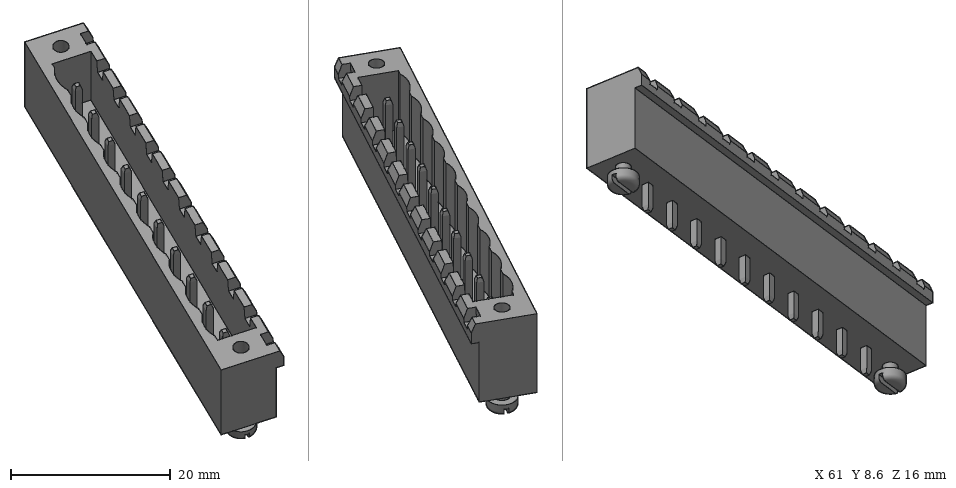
import cadquery as cq


length = 60.95
pin_count = 10
pitch = length / (pin_count + 2)
row_y = 3.85
pin_xs = [(i - (pin_count - 1) / 2) * pitch for i in range(pin_count)]
screw_x = (pin_count + 1) / 2 * pitch
screw_xs = [-screw_x, screw_x]

pin_width = 1.0
pin_below = 3.95
pin_above = 10.0
pin_tip_length = 0.6
pin_tip_inset = 0.2

height = 12.0
body_depth = 7.55
total_depth = 8.6
rail_height = 2.9
rail_bevel_depth = 0.55
rail_bevel_height = 1.3

pocket_length = 51.3
pocket_front_y = 1.65
pocket_back_y = 6.95
pocket_floor_z = 3.0
scallop_half_width = 2.0
scallop_depth = 0.55

notch_top_width = 2.0
notch_floor_width = 1.45
notch_depth = 1.8

screw_diameter = 2.0
screw_hole_depth = 6.0
head_diameter = 4.0
head_top_z = -1.45
head_height = 1.65
head_fillet = 0.6
drive_slot_width = 0.6
drive_slot_depth = 1.0


def make_housing():
    """Side profile with the overhanging, bevelled rail, extruded along the length."""
    profile = [
        (0, 0),
        (body_depth, 0),
        (body_depth, height - rail_height),
        (total_depth, height - rail_height),
        (total_depth, height - rail_bevel_height),
        (total_depth - rail_bevel_depth, height),
        (0, height),
    ]
    return cq.Workplane("YZ").polyline(profile).close().extrude(length / 2, both=True)


def make_pocket():
    """Rectangular pocket whose front edge bulges outward in an arc at every contact."""
    half = pocket_length / 2
    outline = cq.Workplane("XY", origin=(0, 0, pocket_floor_z)).moveTo(-half, pocket_front_y)
    for x in pin_xs:
        outline = outline.lineTo(x - scallop_half_width, pocket_front_y)
        outline = outline.threePointArc(
            (x, pocket_front_y - scallop_depth),
            (x + scallop_half_width, pocket_front_y),
        )
    outline = outline.lineTo(half, pocket_front_y)
    outline = outline.lineTo(half, pocket_back_y).lineTo(-half, pocket_back_y).close()
    return outline.extrude(height - pocket_floor_z)


def make_notch(x):
    """Trapezoidal notch that runs from the pocket side out through the rail."""
    floor_z = height - notch_depth
    profile = [
        (x - notch_floor_width / 2, floor_z),
        (x + notch_floor_width / 2, floor_z),
        (x + notch_top_width / 2, height),
        (x - notch_top_width / 2, height),
    ]
    back_plane = cq.Workplane("XZ", origin=(0, total_depth, 0))
    return back_plane.polyline(profile).close().extrude(total_depth - pocket_back_y)


def make_pin(x):
    """Square contact with both ends tapered."""
    shank_length = pin_above + pin_below - 2 * pin_tip_length
    tip_width = pin_width - 2 * pin_tip_inset
    start = cq.Workplane("XY", origin=(x, row_y, pin_tip_length - pin_below))
    pin = start.rect(pin_width, pin_width).extrude(shank_length)
    for face, direction in ((">Z", 1), ("<Z", -1)):
        tip = (
            cq.Workplane("XY", origin=pin.faces(face).val().Center().toTuple())
            .rect(pin_width, pin_width)
            .workplane(offset=direction * pin_tip_length)
            .rect(tip_width, tip_width)
            .loft()
        )
        pin = pin.union(tip)
    return pin


def make_screw(x):
    """Round shank under the housing with a rounded, slotted head."""
    head_bottom_z = head_top_z - head_height
    shank = cq.Workplane("XY", origin=(x, row_y, 0)).circle(screw_diameter / 2).extrude(head_top_z)
    head = (
        cq.Workplane("XY", origin=(x, row_y, head_bottom_z))
        .circle(head_diameter / 2)
        .extrude(head_height)
        .faces("<Z")
        .edges()
        .fillet(head_fillet)
    )
    slot = (
        cq.Workplane("XY", origin=(x, row_y, head_bottom_z))
        .rect(head_diameter, drive_slot_width)
        .extrude(drive_slot_depth)
    )
    return shank.union(head.cut(slot))


def make_screw_hole(x):
    """Blind hole in the top of the flange, in line with the screw."""
    top = cq.Workplane("XY", origin=(x, row_y, height))
    return top.circle(screw_diameter / 2).extrude(-screw_hole_depth)


result = make_housing().cut(make_pocket())
for notch_x in pin_xs + screw_xs:
    result = result.cut(make_notch(notch_x))
for contact_x in pin_xs:
    result = result.union(make_pin(contact_x))
for flange_x in screw_xs:
    result = result.cut(make_screw_hole(flange_x)).union(make_screw(flange_x))